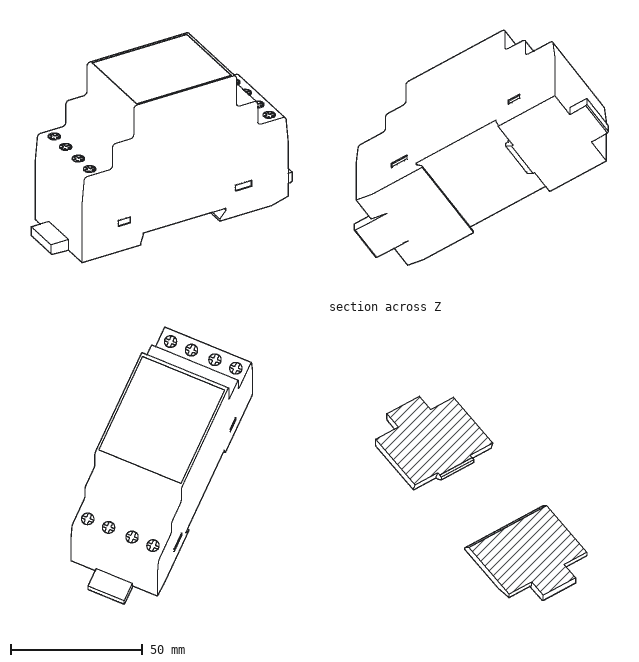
import cadquery as cq

WIDTH = 35.8
LENGTH = 105.38
HEIGHT = 62.99

BODY_HALF = 45.0
TERMINAL_HALF = 44.0
SHOULDER_HALF = 31.7
TOP_HALF = 22.45
TAPER_START_Z = 26.6
TERMINAL_Z = 37.8
SHOULDER_Z = 48.75
STEP_RADIUS = 1.5

CORNER_HEIGHT = 2.0
CORNER_LENGTH = 7.2

CHANNEL_Z = 5.0
HOOK_ROOT_Y = 17.8
HOOK_TIP_Y = 15.1
HOOK_TOP_Z = 4.1
HOOK_LIP_Z = 1.0
CHANNEL_FAR_Y = -18.3
CHANNEL_MOUTH_Y = -19.3

TAB_WIDTH = 15.0
TAB_END = LENGTH / 2
TAB_INNER = BODY_HALF - CORNER_LENGTH
TAB_TOP_Z = 4.8
TAB_SLOPE_START = 46.5
TAB_TIP_Z = 0.3
TAB_CHAMFER = 0.5
LATCH_ROOT_Y = -21.0
LATCH_NECK_Y = -17.0
LATCH_NOSE_Y = -15.9
LATCH_NOSE_TOP_Z = 4.1
LATCH_NOSE_BOTTOM_Z = 2.3
LATCH_FOOT_Y = -18.6

LABEL_WIDTH = 34.0
LABEL_LENGTH = 41.3
LABEL_DEPTH = 0.2

SCREW_OUTER_X = 13.5
SCREW_INNER_X = 4.85
SCREW_XS = (-SCREW_OUTER_X, -SCREW_INNER_X, SCREW_INNER_X, SCREW_OUTER_X)
SCREW_Y = 39.2
SCREW_RADIUS = 2.35
SCREW_RECESS = 0.3
CROSS_X_WIDTH = 1.0
CROSS_Y_WIDTH = 1.4
CROSS_CENTRE_SIDE = 2.0
CROSS_DEPTH = 0.6

POCKET_SPANS = ((22.0, 29.1), (-29.1, -23.9))
POCKET_BOTTOM_Z = 11.3
POCKET_TOP_Z = 13.9
POCKET_DEPTH = 0.5


def extrude_across(points, width):
    """Extrude a closed (Y, Z) outline by width, centred on X = 0."""
    return cq.Workplane("YZ").polyline(points).close().extrude(width / 2, both=True)


def make_housing():
    steps = [
        (BODY_HALF, TAPER_START_Z),
        (TERMINAL_HALF, TERMINAL_Z),
        (SHOULDER_HALF, TERMINAL_Z),
        (SHOULDER_HALF, SHOULDER_Z),
        (TOP_HALF, SHOULDER_Z),
        (TOP_HALF, HEIGHT),
    ]
    mirrored_steps = [(-y, z) for y, z in reversed(steps)]
    base = [
        (-BODY_HALF, 0),
        (BODY_HALF - CORNER_LENGTH, 0),
        (BODY_HALF, CORNER_HEIGHT),
    ]
    housing = extrude_across(steps + mirrored_steps + base, WIDTH)
    middle_of_taper_z = (TAPER_START_Z + TERMINAL_Z) / 2
    step_corners = cq.selectors.BoxSelector(
        (-WIDTH, -LENGTH, middle_of_taper_z), (WIDTH, LENGTH, 2 * HEIGHT)
    )
    return housing.edges("|X").edges(step_corners).fillet(STEP_RADIUS)


def make_channel():
    outline = [
        (HOOK_TIP_Y, 0),
        (HOOK_TIP_Y, HOOK_LIP_Z),
        (HOOK_ROOT_Y, HOOK_TOP_Z),
        (HOOK_ROOT_Y, CHANNEL_Z),
        (CHANNEL_FAR_Y, CHANNEL_Z),
        (CHANNEL_FAR_Y, HOOK_TOP_Z),
        (CHANNEL_MOUTH_Y, HOOK_LIP_Z),
        (CHANNEL_MOUTH_Y, 0),
    ]
    return extrude_across(outline, WIDTH)


def make_tab(side):
    """Pull tab at the +Y (side = 1) or -Y (side = -1) end."""
    outline = [
        (TAB_INNER, 0),
        (TAB_SLOPE_START, 0),
        (TAB_END - TAB_CHAMFER, TAB_TIP_Z),
        (TAB_END, TAB_TIP_Z + TAB_CHAMFER),
        (TAB_END, TAB_TOP_Z),
        (TAB_INNER, TAB_TOP_Z),
    ]
    return extrude_across([(side * y, z) for y, z in outline], TAB_WIDTH)


def make_latch():
    outline = [
        (LATCH_ROOT_Y, 0),
        (LATCH_FOOT_Y, 0),
        (LATCH_NOSE_Y, LATCH_NOSE_BOTTOM_Z),
        (LATCH_NOSE_Y, LATCH_NOSE_TOP_Z),
        (LATCH_NECK_Y, LATCH_NOSE_TOP_Z),
        (LATCH_NECK_Y, CHANNEL_Z),
        (LATCH_ROOT_Y, CHANNEL_Z),
    ]
    return extrude_across(outline, TAB_WIDTH)


def make_label_recess():
    return (
        cq.Workplane("XY", origin=(0, 0, HEIGHT))
        .rect(LABEL_WIDTH, LABEL_LENGTH)
        .extrude(-LABEL_DEPTH)
    )


def make_screw_cut(x, y):
    """Recessed screw head with a cross slot reaching its rim, widened at the centre."""
    surface = cq.Workplane("XY", origin=(x, y, TERMINAL_Z))
    recess = surface.circle(SCREW_RADIUS).extrude(-SCREW_RECESS)
    limit = surface.circle(SCREW_RADIUS).extrude(-CROSS_DEPTH)
    diameter = 2 * SCREW_RADIUS
    slot_along_x = surface.rect(diameter, CROSS_X_WIDTH).extrude(-CROSS_DEPTH)
    slot_along_y = surface.rect(CROSS_Y_WIDTH, diameter).extrude(-CROSS_DEPTH)
    centre = (
        surface.transformed(rotate=(0, 0, 45))
        .rect(CROSS_CENTRE_SIDE, CROSS_CENTRE_SIDE)
        .extrude(-CROSS_DEPTH)
    )
    cross = slot_along_x.union(slot_along_y).union(centre).intersect(limit)
    return recess.union(cross)


def make_side_pocket(side, start_y, end_y):
    """Pocket in the +X (side = 1) or -X (side = -1) wall."""
    return (
        cq.Workplane("YZ", origin=(side * WIDTH / 2, 0, 0))
        .moveTo((start_y + end_y) / 2, (POCKET_BOTTOM_Z + POCKET_TOP_Z) / 2)
        .rect(end_y - start_y, POCKET_TOP_Z - POCKET_BOTTOM_Z)
        .extrude(-side * POCKET_DEPTH)
    )


result = make_housing().cut(make_channel()).union(make_latch())
result = result.cut(make_label_recess())
for end in (-1, 1):
    result = result.union(make_tab(end))
    for screw_x in SCREW_XS:
        result = result.cut(make_screw_cut(screw_x, end * SCREW_Y))
for wall in (-1, 1):
    for span_start, span_end in POCKET_SPANS:
        result = result.cut(make_side_pocket(wall, span_start, span_end))